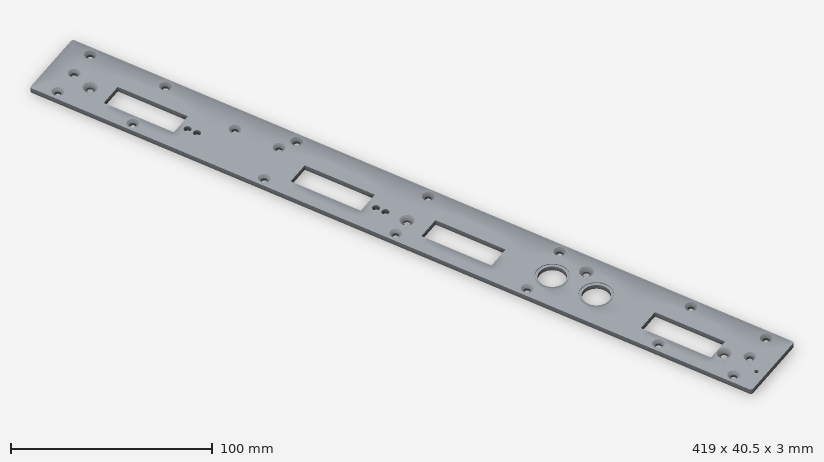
import cadquery as cq

LENGTH = 419.0
WIDTH = 40.5
THICKNESS = 3.0
CORNER_RADIUS = 1.3

HEAD_ANGLE = 90.0
SMALL_SCREW_HOLE = 3.23
SMALL_SCREW_HEAD = 6.3
LARGE_SCREW_HOLE = 3.7
LARGE_SCREW_HEAD = 7.5

EDGE_SCREW_PITCH = 76.3
EDGE_SCREW_Y = 15.5
END_SCREW_X = 196.0

BRACKET_X = -94.5
BRACKET_PITCH = 25.5
BRACKET_Y = 7.0

MOUNT_SCREW_X = 184.0
MOUNT_SCREW_Y = -4.5
OPENING_SCREW_Y = 10.0

WINDOW_LENGTH = 40.5
WINDOW_WIDTH = 13.5
WINDOWS_X = (-152.0, -43.5, 32.3, 159.5)
WINDOW_Y = -3.95

PAIR_HOLE = 3.9
PAIR_PITCH = 5.5
PAIRS_X = (-124.5, -15.0)
PAIR_Y = -5.0

OPENING_RIM = 17.5
OPENING_RIM_DEPTH = 0.5
OPENING_HOLE = 14.5
OPENINGS_X = 95.0
OPENING_PITCH = 25.5
OPENING_Y = -1.45

PIN_HOLE = 2.15
PIN_X = 204.5
PIN_Y = -7.5


def make_plate():
    """Flat plate, centred on the origin, with rounded vertical corners."""
    plate = cq.Workplane("XY").box(LENGTH, WIDTH, THICKNESS)
    return plate.edges("|Z").fillet(CORNER_RADIUS)


def side_by_side(x, pitch, y):
    """Two points spaced by pitch in X, centred on x."""
    return [(x - pitch / 2, y), (x + pitch / 2, y)]


def small_screw_points():
    end_columns = [-END_SCREW_X, END_SCREW_X]
    columns = [i * EDGE_SCREW_PITCH for i in range(-2, 3)] + end_columns
    points = [(x, y) for x in columns for y in (-EDGE_SCREW_Y, EDGE_SCREW_Y)]
    points += [(x, 0) for x in end_columns]
    return points + side_by_side(BRACKET_X, BRACKET_PITCH, BRACKET_Y)


def large_screw_points():
    points = [(x, MOUNT_SCREW_Y) for x in (-MOUNT_SCREW_X, 0, MOUNT_SCREW_X)]
    return points + [(OPENINGS_X, OPENING_SCREW_Y)]


def on_top(plate, points):
    """The plate with the given points placed on its top face."""
    return plate.faces(">Z").workplane(origin=(0, 0, 0)).pushPoints(points)


def cut_screws(plate):
    plate = on_top(plate, small_screw_points()).cskHole(SMALL_SCREW_HOLE, SMALL_SCREW_HEAD, HEAD_ANGLE)
    return on_top(plate, large_screw_points()).cskHole(LARGE_SCREW_HOLE, LARGE_SCREW_HEAD, HEAD_ANGLE)


def cut_windows(plate):
    centers = [(x, WINDOW_Y) for x in WINDOWS_X]
    return on_top(plate, centers).rect(WINDOW_LENGTH, WINDOW_WIDTH).cutThruAll()


def cut_hole_pairs(plate):
    for x in PAIRS_X:
        plate = on_top(plate, side_by_side(x, PAIR_PITCH, PAIR_Y)).hole(PAIR_HOLE)
    return plate


def cut_openings(plate):
    centers = side_by_side(OPENINGS_X, OPENING_PITCH, OPENING_Y)
    return on_top(plate, centers).cboreHole(OPENING_HOLE, OPENING_RIM, OPENING_RIM_DEPTH)


def cut_pin_hole(plate):
    return on_top(plate, [(PIN_X, PIN_Y)]).hole(PIN_HOLE)


result = make_plate()
result = cut_screws(result)
result = cut_windows(result)
result = cut_hole_pairs(result)
result = cut_openings(result)
result = cut_pin_hole(result)